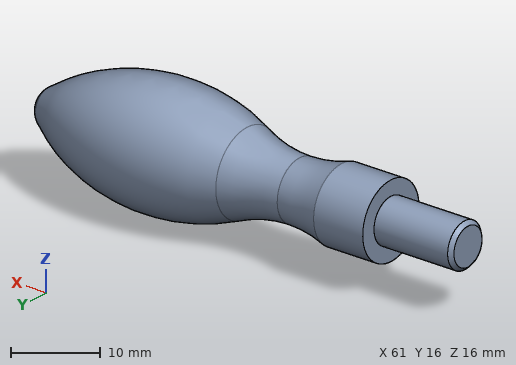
import cadquery as cq
import math


stud_radius = 3.0
stud_length = 11.0
stud_chamfer = 0.5

collar_radius = 5.0
collar_length = 7.0
neck_radius = 4.0
neck_x = 13.0
belly_radius = 8.0
belly_x = 31.92
grip_length = 50.0
tip_radius = 3.0
tip_center_x = grip_length - tip_radius

tip_run = tip_center_x - belly_x
belly_arc = (tip_run**2 + belly_radius**2 - tip_radius**2) / (2 * (belly_radius - tip_radius))
belly_center_z = belly_radius - belly_arc

swell_run = belly_x - neck_x
swell_rise = belly_radius - neck_radius
swell_arc = (swell_run**2 + swell_rise**2) / (2 * swell_rise) - belly_arc

collar_run = neck_x - collar_length
collar_drop = collar_radius - neck_radius
collar_arc = (collar_run**2 + collar_drop**2) / (2 * collar_drop)


def arc_point(center_x, center_z, radius, angle):
    """Point on a profile circle, with the angle measured from +X toward +Z."""
    return (center_x + radius * math.cos(angle), center_z + radius * math.sin(angle))


def make_stud():
    """Plain cylindrical stud with a chamfered free end."""
    stud = cq.Workplane("YZ").workplane(offset=-stud_length).circle(stud_radius).extrude(stud_length)
    return stud.faces("<X").chamfer(stud_chamfer)


def make_grip():
    """Collar, waisted neck, belly and rounded tip, revolved about X."""
    neck_angle = -math.pi / 2
    collar_angle = neck_angle - math.asin(collar_run / collar_arc)
    swell_angle = neck_angle + math.asin(swell_run / (swell_arc + belly_arc))
    belly_start_angle = swell_angle + math.pi
    tip_angle = math.acos(tip_run / (belly_arc - tip_radius))

    collar_mid = arc_point(neck_x, neck_radius + collar_arc, collar_arc, (collar_angle + neck_angle) / 2)
    swell_mid = arc_point(neck_x, neck_radius + swell_arc, swell_arc, (neck_angle + swell_angle) / 2)
    swell_end = arc_point(neck_x, neck_radius + swell_arc, swell_arc, swell_angle)
    belly_mid = arc_point(belly_x, belly_center_z, belly_arc, (belly_start_angle + tip_angle) / 2)
    tip_start = arc_point(tip_center_x, 0, tip_radius, tip_angle)
    tip_mid = arc_point(tip_center_x, 0, tip_radius, tip_angle / 2)

    profile = (
        cq.Workplane("XZ")
        .lineTo(0, collar_radius)
        .lineTo(collar_length, collar_radius)
        .threePointArc(collar_mid, (neck_x, neck_radius))
        .threePointArc(swell_mid, swell_end)
        .threePointArc(belly_mid, tip_start)
        .threePointArc(tip_mid, (grip_length, 0))
        .close()
    )
    return profile.revolve(360, (0, 0, 0), (1, 0, 0))


result = make_grip().union(make_stud())